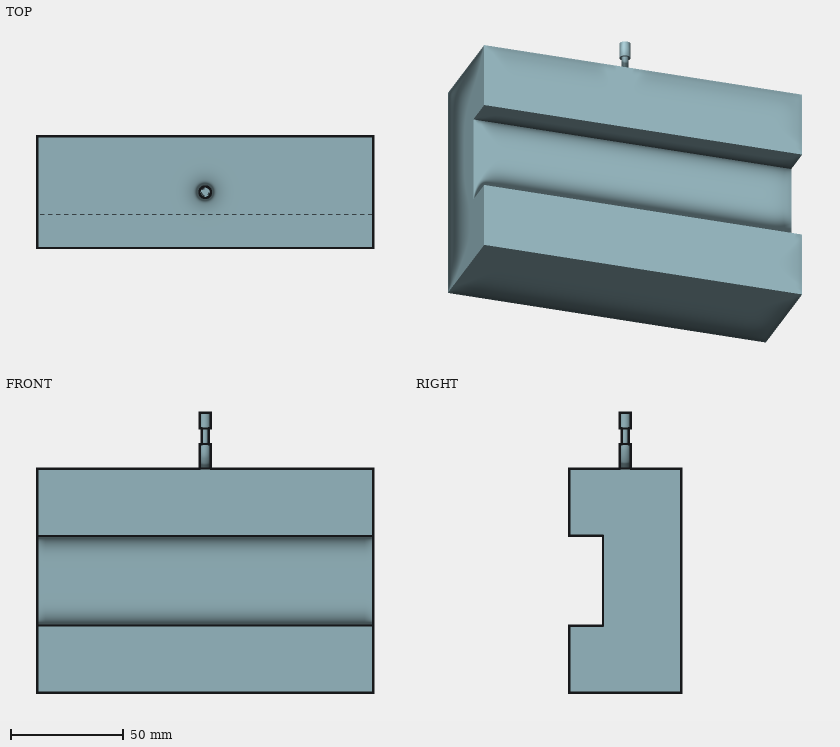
import cadquery as cq

length = 150.0
depth = length / 3
height = 2 * depth

channel_depth = 15.0
lip_height = 30.0
channel_height = height - 2 * lip_height

pin_height = depth / 2
pin_diameter = 5.1
neck_diameter = 3.3
head_height = 7.0
neck_height = 7.0
shank_height = pin_height - head_height - neck_height


def make_block():
    """Block centred on the Z axis, resting on Z = 0, with the channel cut through along X."""
    block = cq.Workplane("XY").box(length, depth, height, centered=(True, True, False))
    channel = (
        cq.Workplane("XY")
        .box(length, channel_depth, channel_height, centered=(True, False, False))
        .translate((0, -depth / 2, lip_height))
    )
    return block.cut(channel)


def make_pin():
    """Round pin built upwards from the top face: shank, neck, head."""
    return (
        cq.Workplane("XY", origin=(0, 0, height))
        .circle(pin_diameter / 2)
        .extrude(shank_height)
        .faces(">Z")
        .workplane()
        .circle(neck_diameter / 2)
        .extrude(neck_height)
        .faces(">Z")
        .workplane()
        .circle(pin_diameter / 2)
        .extrude(head_height)
    )


result = make_block().union(make_pin())